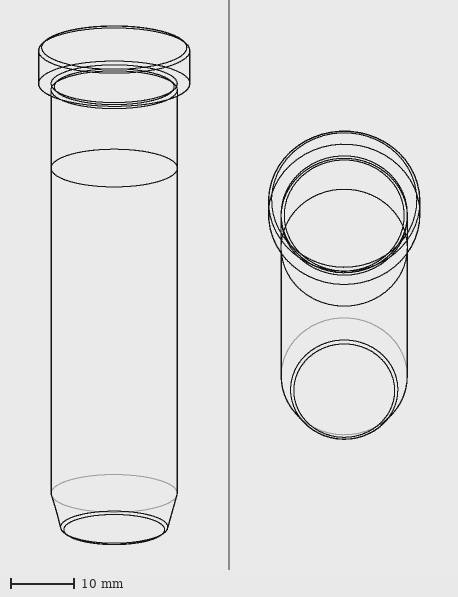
import cadquery as cq
import math

total_length = 80.0
pin_radius = 10.0
head_radius = 12.0
head_height = 6.0
head_chamfer = 0.5
head_bottom_z = total_length - head_height

headed_shank_length = 20.0
joint_z = total_length - headed_shank_length

groove_depth = 0.5
groove_width = 1.0
groove_root_z = head_bottom_z - groove_width / 2
groove_bottom_z = head_bottom_z - groove_width

nose_length = 6.0
nose_half_angle = math.radians(15)
tip_chamfer = 0.4
sharp_tip_radius = pin_radius - nose_length * math.tan(nose_half_angle)
tip_flat_radius = sharp_tip_radius - tip_chamfer
tip_chamfer_top_radius = sharp_tip_radius + tip_chamfer * math.tan(nose_half_angle)


def revolve_about_z(profile):
    """Close a profile drawn as (radius, z) points and turn it a full turn about the Z axis."""
    return profile.close().revolve(360, (0, 0, 0), (0, 1, 0))


def make_headed_shank():
    profile = (
        cq.Workplane("XZ")
        .moveTo(0, joint_z)
        .lineTo(pin_radius, joint_z)
        .lineTo(pin_radius, groove_bottom_z)
        .lineTo(pin_radius - groove_depth, groove_root_z)
        .lineTo(pin_radius, head_bottom_z)
        .lineTo(head_radius, head_bottom_z)
        .lineTo(head_radius, total_length - head_chamfer)
        .lineTo(head_radius - head_chamfer, total_length)
        .lineTo(0, total_length)
    )
    return revolve_about_z(profile)


def make_guide_pin():
    profile = (
        cq.Workplane("XZ")
        .moveTo(0, 0)
        .lineTo(tip_flat_radius, 0)
        .lineTo(tip_chamfer_top_radius, tip_chamfer)
        .lineTo(pin_radius, nose_length)
        .lineTo(pin_radius, joint_z)
        .lineTo(0, joint_z)
    )
    return revolve_about_z(profile)


headed_shank = make_headed_shank()
guide_pin = make_guide_pin()

result = cq.Compound.makeCompound([headed_shank.val(), guide_pin.val()])